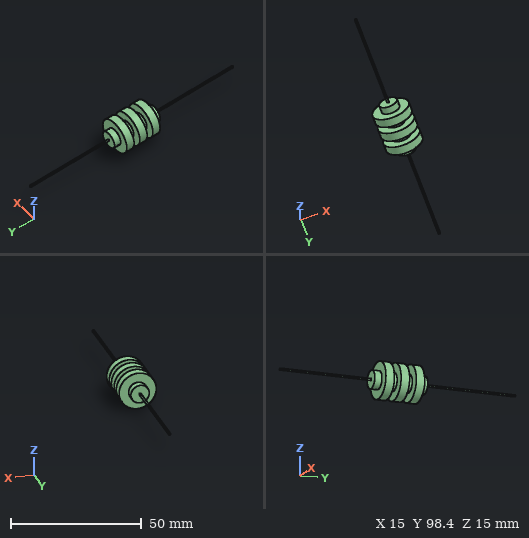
import cadquery as cq

CORE_DIAMETER = 7.366
CORE_LENGTH = 22.225
DISC_DIAMETER = 14.986
DISC_THICKNESS = 3.556
DISC_PITCH = 6.35
DISC_COUNT = 3
LEAD_DIAMETER = 0.8128
LEAD_LENGTH = 38.1

OVERALL_LENGTH = CORE_LENGTH + 2 * LEAD_LENGTH


def cylinder_along_y(diameter, length, centre_y=0.0):
    """Solid cylinder on the Y axis, centred at centre_y."""
    far_end = cq.Workplane("XZ", origin=(0, centre_y + length / 2, 0))
    return far_end.circle(diameter / 2).extrude(length)


def disc_centres():
    """Y positions of the evenly spaced discs, symmetric about the middle of the core."""
    first = -DISC_PITCH * (DISC_COUNT - 1) / 2
    return [first + index * DISC_PITCH for index in range(DISC_COUNT)]


core = cylinder_along_y(CORE_DIAMETER, CORE_LENGTH)
leads = cylinder_along_y(LEAD_DIAMETER, OVERALL_LENGTH)

result = core.union(leads)
for disc_y in disc_centres():
    result = result.union(cylinder_along_y(DISC_DIAMETER, DISC_THICKNESS, disc_y))